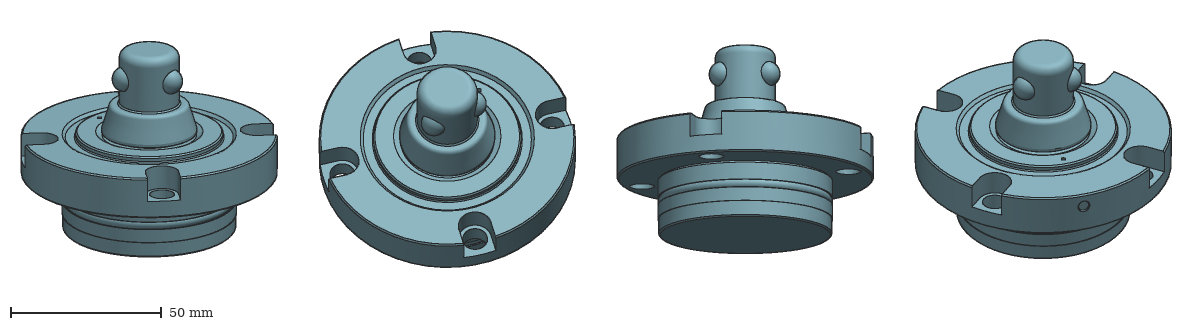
import cadquery as cq
import math

TOTAL_HEIGHT = 63.0
STEP_Z = 5.3
FLANGE_BOTTOM_Z = 19.0
FLANGE_TOP_Z = 33.0
RING_TOP_Z = 34.0
CONE_FOOT_Z = 35.0
SHOULDER_Z = 44.0

SPIGOT_RADIUS = 29.0
SPIGOT_LOWER_RADIUS = 28.75
SPIGOT_TOP_CHAMFER = 0.75
SEAL_Z = 11.25
SEAL_WIDTH = 2.6
SEAL_RECESS = 0.5

FLANGE_RADIUS = 42.5
EDGE_CHAMFER = 0.5
GROOVE_OUTER_RADIUS = 28.9
GROOVE_DEPTH = 1.0
RING_RADIUS = 24.5
RING_FOOT_CHAMFER = 0.4

BOLT_CIRCLE_RADIUS = 36.0
BOLT_COUNT = 4
BOLT_HOLE_DIAMETER = 8.2
SLOT_WIDTH = 11.0
SLOT_DEPTH = 8.0

RECESS_RADIUS = 17.8
RECESS_WALL_ANGLE = 30.0
RECESS_FLOOR_RADIUS = 15.7
RECESS_DEPTH = (RECESS_RADIUS - RECESS_FLOOR_RADIUS) * math.tan(math.radians(RECESS_WALL_ANGLE))
CONE_FOOT_RADIUS = 15.85
CONE_FOOT_HEIGHT = 1.1
CONE_UNDERSIDE_Z = CONE_FOOT_Z - CONE_FOOT_HEIGHT
CONE_FOOT_CHAMFER = 0.2
CONE_TOP_RADIUS = 13.1
STEM_RADIUS = 13.0
CONE_FILLET = 1.5
PEG_RADIUS = 10.0
PEG_FILLET = 3.0
PEG_BASE_CHAMFER = 0.5

BALL_COUNT = 3
BALL_RADIUS = 4.25
BALL_CENTRE_RADIUS = 8.7
BALL_Z = 53.7

VENT_DIAMETER = 1.4
VENT_X = -21.0
VENT_DEPTH = 3.0
PORT_MOUTH_DIAMETER = 4.2
PORT_FLOOR_DIAMETER = 3.5
PORT_DEPTH = (PORT_MOUTH_DIAMETER - PORT_FLOOR_DIAMETER) / 2
PORT_Z = 28.5


def revolved_body():
    """Spigot, flange, raised ring, cone and peg turned about the Z axis."""
    seal_low = SEAL_Z - SEAL_WIDTH / 2
    seal_high = SEAL_Z + SEAL_WIDTH / 2
    seal_root = SPIGOT_RADIUS - SEAL_RECESS
    groove_floor_z = FLANGE_TOP_Z - GROOVE_DEPTH
    recess_floor_z = RING_TOP_Z - RECESS_DEPTH
    profile = (
        cq.Workplane("XZ")
        .moveTo(0, 0)
        .lineTo(SPIGOT_LOWER_RADIUS - EDGE_CHAMFER, 0)
        .lineTo(SPIGOT_LOWER_RADIUS, EDGE_CHAMFER)
        .lineTo(SPIGOT_LOWER_RADIUS, STEP_Z)
        .lineTo(SPIGOT_RADIUS, STEP_Z)
        .lineTo(SPIGOT_RADIUS, seal_low)
        .lineTo(seal_root, seal_low)
        .threePointArc((SPIGOT_RADIUS, SEAL_Z), (seal_root, seal_high))
        .lineTo(SPIGOT_RADIUS, seal_high)
        .lineTo(SPIGOT_RADIUS, FLANGE_BOTTOM_Z - SPIGOT_TOP_CHAMFER)
        .lineTo(SPIGOT_RADIUS - SPIGOT_TOP_CHAMFER, FLANGE_BOTTOM_Z)
        .lineTo(FLANGE_RADIUS - EDGE_CHAMFER, FLANGE_BOTTOM_Z)
        .lineTo(FLANGE_RADIUS, FLANGE_BOTTOM_Z + EDGE_CHAMFER)
        .lineTo(FLANGE_RADIUS, FLANGE_TOP_Z - EDGE_CHAMFER)
        .lineTo(FLANGE_RADIUS - EDGE_CHAMFER, FLANGE_TOP_Z)
        .lineTo(GROOVE_OUTER_RADIUS, FLANGE_TOP_Z)
        .lineTo(GROOVE_OUTER_RADIUS - GROOVE_DEPTH, groove_floor_z)
        .lineTo(RING_RADIUS + RING_FOOT_CHAMFER, groove_floor_z)
        .lineTo(RING_RADIUS, groove_floor_z + RING_FOOT_CHAMFER)
        .lineTo(RING_RADIUS, RING_TOP_Z - EDGE_CHAMFER)
        .lineTo(RING_RADIUS - EDGE_CHAMFER, RING_TOP_Z)
        .lineTo(RECESS_RADIUS, RING_TOP_Z)
        .lineTo(RECESS_FLOOR_RADIUS, recess_floor_z)
        .lineTo(STEM_RADIUS, recess_floor_z)
        .lineTo(STEM_RADIUS, CONE_UNDERSIDE_Z)
        .lineTo(CONE_FOOT_RADIUS - CONE_FOOT_CHAMFER, CONE_UNDERSIDE_Z)
        .lineTo(CONE_FOOT_RADIUS, CONE_UNDERSIDE_Z + CONE_FOOT_CHAMFER)
        .lineTo(CONE_FOOT_RADIUS, CONE_FOOT_Z)
        .lineTo(CONE_TOP_RADIUS, SHOULDER_Z)
        .lineTo(PEG_RADIUS + PEG_BASE_CHAMFER, SHOULDER_Z)
        .lineTo(PEG_RADIUS, SHOULDER_Z + PEG_BASE_CHAMFER)
        .lineTo(PEG_RADIUS, TOTAL_HEIGHT)
        .lineTo(0, TOTAL_HEIGHT)
        .close()
    )
    body = profile.revolve(360, (0, 0, 0), (0, 1, 0))
    body = body.faces(">Z").edges().fillet(PEG_FILLET)
    shoulder = body.faces(cq.selectors.NearestToPointSelector((CONE_TOP_RADIUS, 0, SHOULDER_Z)))
    outer_rim = cq.selectors.RadiusNthSelector(-1)
    return shoulder.edges(outer_rim).fillet(CONE_FILLET)


def locking_balls():
    """Balls spaced evenly around the peg, the first one toward +X."""
    return (
        cq.Workplane("XY", origin=(0, 0, BALL_Z))
        .polarArray(BALL_CENTRE_RADIUS, 0, 360, BALL_COUNT)
        .sphere(BALL_RADIUS)
    )


def mounting_cut():
    """Through hole with a round-ended slot above it, placed on the +X axis."""
    slot_floor_z = FLANGE_TOP_Z - SLOT_DEPTH
    slot_end = (
        cq.Workplane("XY", origin=(BOLT_CIRCLE_RADIUS, 0, slot_floor_z))
        .circle(SLOT_WIDTH / 2)
        .extrude(SLOT_DEPTH)
    )
    slot_mouth = (
        cq.Workplane("XY", origin=(BOLT_CIRCLE_RADIUS, 0, slot_floor_z))
        .box(SLOT_WIDTH, SLOT_WIDTH, SLOT_DEPTH, centered=(False, True, False))
    )
    hole = (
        cq.Workplane("XY", origin=(BOLT_CIRCLE_RADIUS, 0, FLANGE_BOTTOM_Z))
        .circle(BOLT_HOLE_DIAMETER / 2)
        .extrude(FLANGE_TOP_Z - FLANGE_BOTTOM_Z)
    )
    return slot_end.union(slot_mouth).union(hole)


def vent_hole():
    """Small blind hole in the raised ring."""
    return (
        cq.Workplane("XY", origin=(VENT_X, 0, RING_TOP_Z - VENT_DEPTH))
        .circle(VENT_DIAMETER / 2)
        .extrude(VENT_DEPTH)
    )


def side_port():
    """Shallow tapered recess in the rim, facing -X."""
    return cq.Workplane(
        cq.Solid.makeCone(
            PORT_MOUTH_DIAMETER / 2,
            PORT_FLOOR_DIAMETER / 2,
            PORT_DEPTH,
            pnt=cq.Vector(-FLANGE_RADIUS, 0, PORT_Z),
            dir=cq.Vector(1, 0, 0),
        )
    )


result = revolved_body().union(locking_balls())
for index in range(BOLT_COUNT):
    angle = (index + 0.5) * 360 / BOLT_COUNT
    result = result.cut(mounting_cut().rotate((0, 0, 0), (0, 0, 1), angle))
result = result.cut(vent_hole()).cut(side_port())